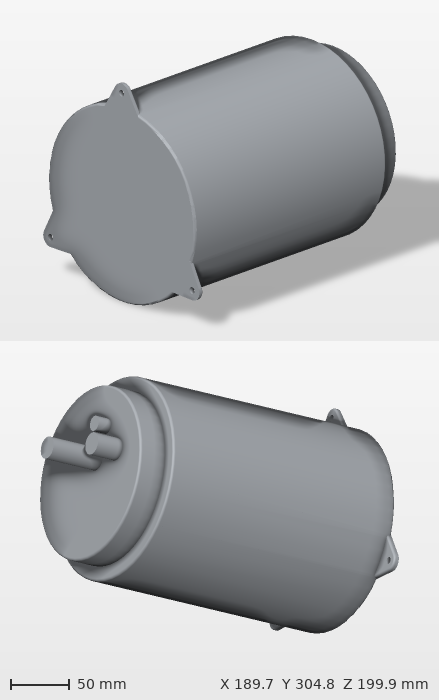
import cadquery as cq
import math

body_radius = 89.3
body_length = 228.5
cap_radius = 76.5
cap_height = 25.3
edge_round = 2.0

ear_thickness = 4.5
ear_tip_radius = 8.8
ear_hole_radius = 3.0
ear_reach = 101.8
ear_flank_angle = 31.0
ear_back_round = 1.8
ear_angles = (90.0, 212.0, 327.4)

pins = (
    (-10.0, 9.0, 9.8, 304.8),
    (-40.0, 9.0, 9.8, 279.2),
    (-25.5, 34.5, 6.7, 266.7),
)


def cylinder(x, z, radius, start, end):
    """Cylinder parallel to Y, between two Y positions."""
    axis_start = cq.Vector(x, start, z)
    return cq.Workplane(cq.Solid.makeCylinder(radius, end - start, axis_start, cq.Vector(0, 1, 0)))


def make_ear():
    """Tapering ear along +X with a round tip and flanks tangent to it."""
    flank = math.radians(ear_flank_angle)
    tangent_x = ear_reach + ear_tip_radius * math.sin(flank)
    tangent_z = ear_tip_radius * math.cos(flank)
    root_x = body_radius / 2
    root_z = tangent_z + (tangent_x - root_x) * math.tan(flank)
    ear = (
        cq.Workplane("XZ")
        .moveTo(root_x, -root_z)
        .lineTo(tangent_x, -tangent_z)
        .threePointArc((ear_reach + ear_tip_radius, 0), (tangent_x, tangent_z))
        .lineTo(root_x, root_z)
        .close()
        .extrude(-ear_thickness)
    )
    ear = ear.faces(">Y").edges().fillet(ear_back_round)
    return ear.cut(cylinder(ear_reach, 0, ear_hole_radius, 0, ear_thickness))


cap_end = body_length + cap_height
body = cylinder(0, 0, body_radius, 0, body_length).edges().fillet(edge_round)
cap = cylinder(0, 0, cap_radius, 0, cap_end).faces(">Y").edges().fillet(edge_round)
result = body.union(cap)

for pin_x, pin_z, pin_radius, pin_end in pins:
    result = result.union(cylinder(pin_x, pin_z, pin_radius, body_length, pin_end))

for angle in ear_angles:
    result = result.union(make_ear().rotate((0, 0, 0), (0, 1, 0), -angle))